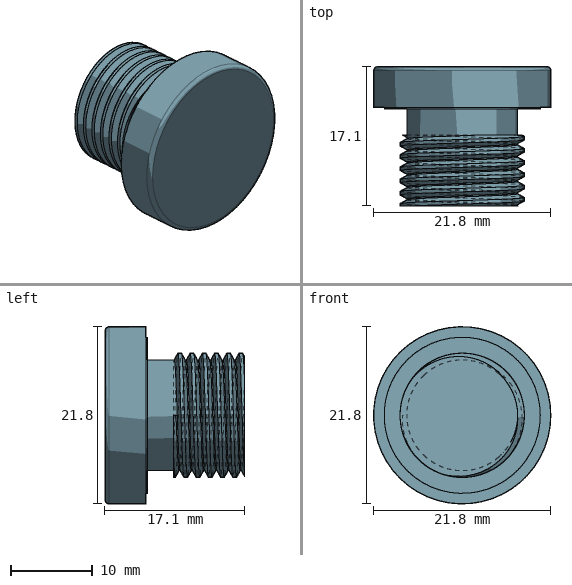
import cadquery as cq


HEAD_DIAMETER = 21.75
HEAD_THICKNESS = 5.0
HEAD_FILLET = 0.5
SEAT_DIAMETER = 19.15
SEAT_THICKNESS = 0.2
TOTAL_LENGTH = 17.1
CORE_DIAMETER = 13.6

THREAD_DIAMETER = 15.25
PITCH = 1.5
CREST_WIDTH = 0.43
ROOT_WIDTH = 1.35
THREAD_START = 8.4
FIRST_CREST = 8.025
TURNS = 6.6
ROOT_OVERLAP = 0.1

CORE_RADIUS = CORE_DIAMETER / 2
THREAD_RADIUS = THREAD_DIAMETER / 2


def make_disc(diameter, start, end):
    """Cylinder about the Z axis between two heights."""
    return cq.Workplane("XY").workplane(offset=start).circle(diameter / 2).extrude(end - start)


def make_head_and_neck():
    """Head with a rounded outer rim, raised seat ring and plain neck."""
    seat_end = HEAD_THICKNESS + SEAT_THICKNESS
    head = make_disc(HEAD_DIAMETER, 0, HEAD_THICKNESS).faces("<Z").edges().fillet(HEAD_FILLET)
    seat = make_disc(SEAT_DIAMETER, HEAD_THICKNESS, seat_end)
    neck = make_disc(CORE_DIAMETER, seat_end, THREAD_START)
    return head.union(seat).union(neck)


def make_ridge():
    """Right-handed trapezoidal helical ridge starting on the -X side."""
    flank_slope = (ROOT_WIDTH - CREST_WIDTH) / (THREAD_RADIUS - CORE_RADIUS)
    base_radius = CORE_RADIUS - ROOT_OVERLAP
    base_half = (ROOT_WIDTH + flank_slope * ROOT_OVERLAP) / 2
    crest_half = CREST_WIDTH / 2
    path = cq.Wire.makeHelix(PITCH, TURNS * PITCH, CORE_RADIUS)
    return (
        cq.Workplane("XZ")
        .polyline([
            (base_radius, -base_half),
            (THREAD_RADIUS, -crest_half),
            (THREAD_RADIUS, crest_half),
            (base_radius, base_half),
        ])
        .close()
        .sweep(cq.Workplane(path), isFrenet=True)
        .rotate((0, 0, 0), (0, 0, 1), 180)
        .translate((0, 0, FIRST_CREST))
    )


def make_threaded_shank():
    """Core and ridge joined over-long, then cut square at both ends of the thread."""
    ridge_end = FIRST_CREST + TURNS * PITCH
    core = make_disc(CORE_DIAMETER, FIRST_CREST - PITCH, ridge_end + PITCH)
    thread_span = make_disc(HEAD_DIAMETER, THREAD_START, TOTAL_LENGTH)
    return core.union(make_ridge()).intersect(thread_span)


plug = make_head_and_neck().union(make_threaded_shank())
result = plug.rotate((0, 0, 0), (1, 0, 0), 90)